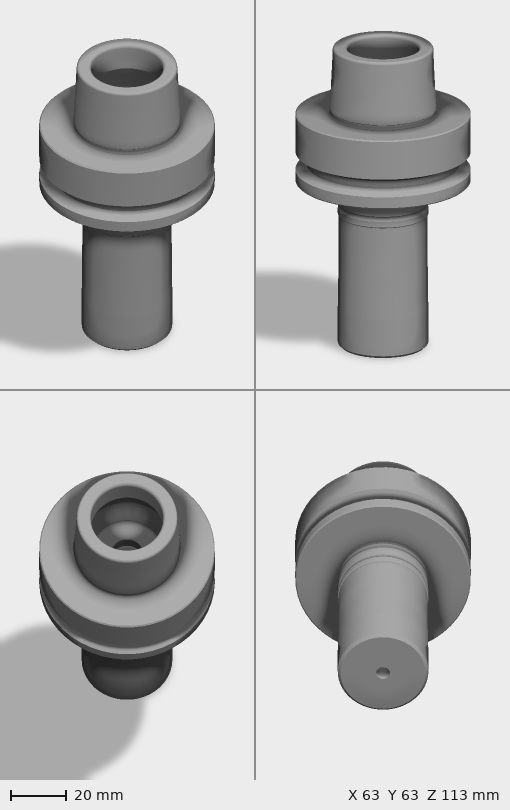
import cadquery as cq
import math

total_height = 113.0
flange_top = 88.0
flange_bottom = 62.0

taper_base_radius = 19.2
taper_base_level = 89.7
taper_ratio = 0.05
taper_rim_fillet = 1.0
taper_neck_radius = 19.0
taper_neck_step = 0.2
neck_fillet = 0.7
recess_depth = 0.1
recess_outer_radius = 20.2

flange_radius = 31.5
flange_edge_chamfer = 0.5
groove_root_radius = 55.0 / 2
groove_root_fillet = 0.5
groove_upper_edge = 73.3
groove_root_top = 71.5
groove_root_bottom = 68.6
groove_lower_edge = 66.6

shank_radius = 16.3
shank_groove_radius = 15.8
relief_radius = 15.9
shank_lip_radius = 15.9
upper_groove_bottom = 60.7
second_groove_top = 60.0
second_groove_bottom = 58.1
third_groove_top = 53.9
third_groove_bottom = 52.0
groove_lip = 0.28
third_groove_lower_lip = 0.7
relief_top = 49.8
relief_bottom = 14.5
relief_lip = 0.3
shank_end_chamfer = 1.0

bore_radius = 13.0
bore_rim_fillet = 1.2
undercut_radius = 32.0 / 2
undercut_top = 103.0
undercut_bottom = 93.3
bore_floor = 84.2
bore_floor_fillet = 1.1

socket_radius = 6.0
socket_chamfer = 0.2
socket_depth = 5.0
funnel_radius = 10.1 / 2
passage_radius = 2.5
funnel_point_angle = 118.0


def arc_point(center_x, center_z, radius, angle):
    """Point on a circle in the profile plane, at an angle in degrees."""
    turn = math.radians(angle)
    return center_x + radius * math.cos(turn), center_z + radius * math.sin(turn)


def groove_flank_fillet():
    """Start, middle and end of the arc between the upper groove flank and the groove root."""
    flank_slope = math.atan2(groove_upper_edge - groove_root_top, flange_radius - groove_root_radius)
    flank_angle = math.degrees(flank_slope)
    corner_length = groove_root_fillet * math.tan(math.radians(90 - flank_angle) / 2)
    center_x = groove_root_radius + groove_root_fillet
    center_z = groove_root_top - corner_length
    start_angle = 90 + flank_angle
    angles = (start_angle, (start_angle + 180) / 2, 180)
    return [arc_point(center_x, center_z, groove_root_fillet, angle) for angle in angles]


def add_shank_groove(profile, top, bottom, lower_lip):
    """Shallow groove in the shank: sloped lips on both sides of a concave floor."""
    floor_top = top - groove_lip
    floor_bottom = bottom + lower_lip
    floor_middle = (floor_top + floor_bottom) / 2
    return (
        profile.lineTo(shank_radius, top)
        .lineTo(shank_lip_radius, floor_top)
        .threePointArc((shank_groove_radius, floor_middle), (shank_lip_radius, floor_bottom))
        .lineTo(shank_radius, bottom)
    )


def outer_body():
    flank_end, fillet_middle, root_start = groove_flank_fillet()
    rim_start = total_height - taper_rim_fillet
    rim_radius = taper_base_radius - taper_ratio * (rim_start - taper_base_level)
    rim_center = rim_radius - taper_rim_fillet
    recess_floor = flange_top - recess_depth
    recess_floor_radius = taper_neck_radius + neck_fillet
    upper_groove_middle = (flange_bottom + upper_groove_bottom) / 2
    flange_face_radius = flange_radius - flange_edge_chamfer

    profile = (
        cq.Workplane("XZ")
        .moveTo(0, total_height)
        .lineTo(rim_center, total_height)
        .threePointArc(arc_point(rim_center, rim_start, taper_rim_fillet, 45), (rim_radius, rim_start))
        .lineTo(taper_base_radius, taper_base_level)
        .lineTo(taper_neck_radius, taper_base_level - taper_neck_step)
        .lineTo(taper_neck_radius, recess_floor + neck_fillet)
        .threePointArc(
            arc_point(recess_floor_radius, recess_floor + neck_fillet, neck_fillet, 225),
            (recess_floor_radius, recess_floor),
        )
        .lineTo(recess_outer_radius, flange_top)
        .lineTo(flange_face_radius, flange_top)
        .lineTo(flange_radius, flange_top - flange_edge_chamfer)
        .lineTo(flange_radius, groove_upper_edge)
        .lineTo(*flank_end)
        .threePointArc(fillet_middle, root_start)
        .lineTo(groove_root_radius, groove_root_bottom)
        .lineTo(flange_radius, groove_lower_edge)
        .lineTo(flange_radius, flange_bottom + flange_edge_chamfer)
        .lineTo(flange_face_radius, flange_bottom)
        .lineTo(shank_radius, flange_bottom)
        .threePointArc((shank_groove_radius, upper_groove_middle), (shank_radius, upper_groove_bottom))
    )
    profile = add_shank_groove(profile, second_groove_top, second_groove_bottom, groove_lip)
    profile = add_shank_groove(profile, third_groove_top, third_groove_bottom, third_groove_lower_lip)
    profile = (
        profile.lineTo(shank_radius, relief_top)
        .lineTo(relief_radius, relief_top - relief_lip)
        .lineTo(shank_radius, relief_bottom)
        .lineTo(shank_radius, shank_end_chamfer)
        .lineTo(shank_radius - shank_end_chamfer, 0)
        .lineTo(0, 0)
        .close()
    )
    return profile.revolve(360, (0, 0), (0, 1))


def inner_bore():
    mouth_radius = bore_radius + bore_rim_fillet
    mouth_bottom = total_height - bore_rim_fillet
    floor_radius = bore_radius - bore_floor_fillet
    fillet_top = bore_floor + bore_floor_fillet
    socket_floor = bore_floor - socket_depth
    funnel_depth = (funnel_radius - passage_radius) / math.tan(math.radians(funnel_point_angle / 2))
    funnel_bottom = socket_floor - funnel_depth
    mouth_fillet_middle = arc_point(mouth_radius, mouth_bottom, bore_rim_fillet, 135)
    floor_fillet_middle = arc_point(floor_radius, fillet_top, bore_floor_fillet, -45)
    return (
        cq.Workplane("XZ")
        .moveTo(0, total_height)
        .lineTo(mouth_radius, total_height)
        .threePointArc(mouth_fillet_middle, (bore_radius, mouth_bottom))
        .lineTo(bore_radius, undercut_top)
        .lineTo(undercut_radius, undercut_top)
        .lineTo(undercut_radius, undercut_bottom)
        .lineTo(bore_radius, fillet_top)
        .threePointArc(floor_fillet_middle, (floor_radius, bore_floor))
        .lineTo(socket_radius, bore_floor)
        .lineTo(socket_radius - socket_chamfer, bore_floor - socket_chamfer)
        .lineTo(socket_radius - socket_chamfer, socket_floor)
        .lineTo(funnel_radius, socket_floor)
        .lineTo(passage_radius, funnel_bottom)
        .lineTo(passage_radius, 0)
        .lineTo(0, 0)
        .close()
        .revolve(360, (0, 0), (0, 1))
    )


result = outer_body().cut(inner_bore())